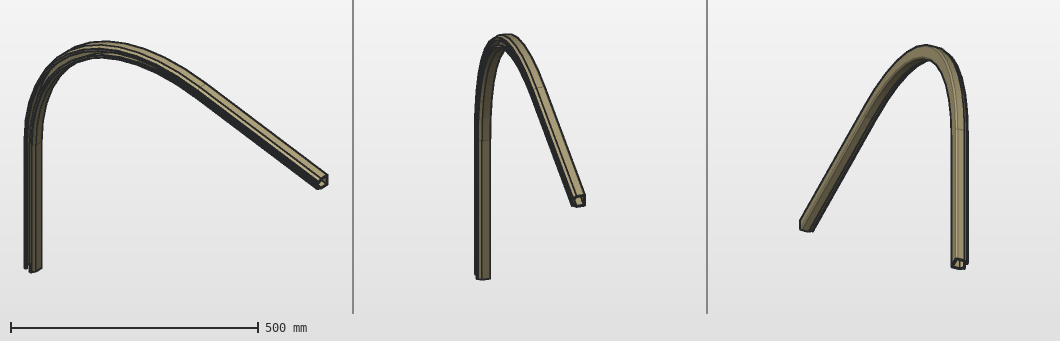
import cadquery as cq

overall_size = 875.0
depth = 28.0
width = 29.0
bend_radius = 500.5

back_corner_radius = 3.5
shoulder_y = -4.0
neck_y = -11.0
neck_width = 20.0
slot_width = 10.5
lip_thickness = 3.5
wall = 3.5

half_width = width / 2
half_depth = depth / 2
half_neck = neck_width / 2
straight_length = overall_size - half_width - bend_radius
rail_axis_x = half_width - overall_size / 2
leg_bottom_z = -overall_size / 2


def rail_path():
    """Upright leg, quarter bend and horizontal leg."""
    bend_end = (rail_axis_x + bend_radius, leg_bottom_z + straight_length + bend_radius)
    return (
        cq.Workplane("XZ")
        .moveTo(rail_axis_x, leg_bottom_z)
        .vLine(straight_length)
        .radiusArc(bend_end, bend_radius)
        .hLine(straight_length)
    )


def section_plane():
    """Plane across the lower end of the upright leg, centred on the rail."""
    return cq.Workplane("XY", origin=(rail_axis_x, 0, leg_bottom_z))


def outer_section():
    """Rail with a rounded flat back and shoulders tapering to a narrow front."""
    back_flat = half_width - back_corner_radius
    side_end_y = half_depth - back_corner_radius
    return (
        section_plane()
        .moveTo(-back_flat, half_depth)
        .lineTo(back_flat, half_depth)
        .radiusArc((half_width, side_end_y), back_corner_radius)
        .lineTo(half_width, shoulder_y)
        .lineTo(half_neck, neck_y)
        .lineTo(half_neck, -half_depth)
        .lineTo(-half_neck, -half_depth)
        .lineTo(-half_neck, neck_y)
        .lineTo(-half_width, shoulder_y)
        .lineTo(-half_width, side_end_y)
        .radiusArc((-back_flat, half_depth), back_corner_radius)
        .close()
    )


def channel_section():
    """Hollow inside the walls, opening through the front by the slot."""
    inner_half = half_width - wall
    half_slot = slot_width / 2
    inner_back_y = half_depth - wall
    lip_y = -half_depth + lip_thickness
    outline = [
        (-inner_half, inner_back_y),
        (inner_half, inner_back_y),
        (inner_half, shoulder_y),
        (half_slot, lip_y),
        (half_slot, -half_depth),
        (-half_slot, -half_depth),
        (-half_slot, lip_y),
        (-inner_half, shoulder_y),
    ]
    return section_plane().polyline(outline).close()


rail = outer_section().sweep(rail_path())
channel = channel_section().sweep(rail_path())
result = rail.cut(channel)